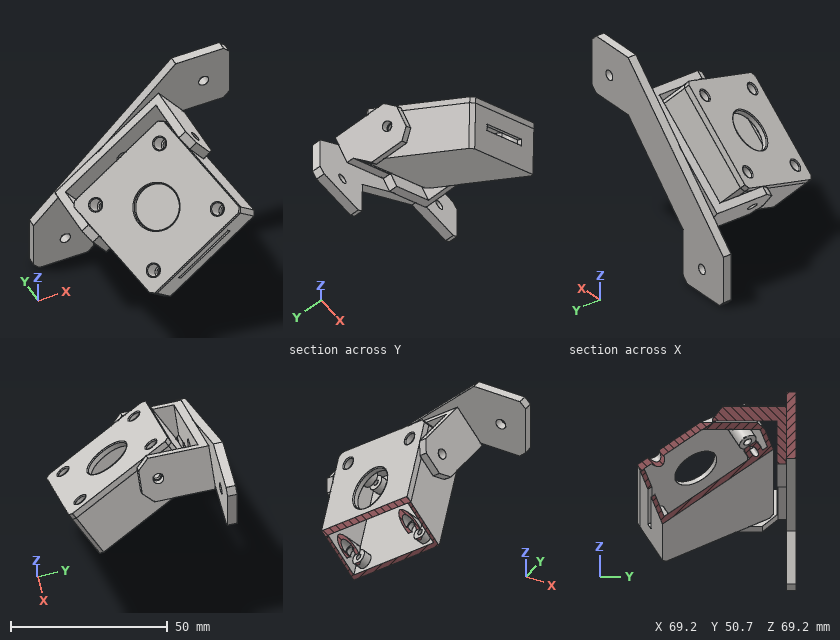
import cadquery as cq
plate_span = 69.2
plate_thickness = 3.2
ear_width = 21.3
ear_length = 19.0
ear_corner_cut = 2.1
screw_hole_diameter = 3.5
screw_hole_to_end = 9.15
screw_hole_to_outer_side = 11.3

pan_angle = 38.0
bracket_length = 46.45
bracket_width = 14.95
bracket_depth = 23.5
bracket_wall = 3.0
arm_corner_cut = 3.5
arm_notch_height = 5.05
arm_notch_depth = 2.55
pan_hole_diameter = 4.7
arm_hole_diameter = 3.4

tilt_angle = 28.0
tilt_axis_to_plate = 17.65
tilt_axis_to_case_middle = 9.75
tilt_axis_to_lid_top = 7.4
case_size = 40.15
case_corner_cut = 1.4
case_height = 15.0
case_wall = 1.5
pivot_hole_diameter = 2.8
pivot_hole_depth = case_wall
case_post_diameter = 5.25
case_post_height = 3.0
case_screw_hole_diameter = 1.95
case_screw_hole_depth = 4.0
card_slot_length = 22.0
card_slot_height = 2.1
card_slot_to_rim = 6.2

lid_thickness = 2.0
window_diameter = 15.0
rim_chamfer = 0.35
screw_spacing = 28.65
lid_post_diameter = 6.0
lid_post_length = 8.3
screw_head_diameter = 4.0
screw_head_depth = 8.5
lid_screw_hole_diameter = 2.8

ear_end = plate_span / 2
ear_start = ear_end - ear_length
ear_inner_side = ear_end - ear_width
neck_outer_offset = ear_end - ear_start
neck_inner_offset = ear_inner_side - ear_start
pan_axis_offset = (neck_outer_offset + neck_inner_offset) / 4
case_rim = tilt_axis_to_lid_top - lid_thickness
case_bottom = case_rim - case_height
case_floor = case_bottom + case_wall
screw_places = [(sx * screw_spacing / 2, sy * screw_spacing / 2) for sx in (-1, 1) for sy in (-1, 1)]


def turn_to_pan_angle(body):
    """Turn a body made about the Y axis to the pan angle and move it to the pan axis."""
    turned = body.rotate((0, 0, 0), (0, 1, 0), -pan_angle)
    return turned.translate((-pan_axis_offset, 0, pan_axis_offset))


def turn_to_tilt_angle(body):
    """Tilt a body made about the X axis and carry it with the bracket."""
    tilted = body.rotate((0, 0, 0), (1, 0, 0), tilt_angle)
    return turn_to_pan_angle(tilted.translate((0, -tilt_axis_to_plate, 0)))


def make_plate():
    """Flat plate with two ears joined by a sloping neck, symmetric about the line X = -Z."""
    right_ear = [
        (ear_start, ear_end),
        (ear_end - ear_corner_cut, ear_end),
        (ear_end, ear_end - ear_corner_cut),
        (ear_end, ear_inner_side + ear_corner_cut),
        (ear_end - ear_corner_cut, ear_inner_side),
        (ear_start, ear_inner_side),
    ]
    left_ear = [(-z, -x) for x, z in reversed(right_ear)]
    hole_x = ear_end - screw_hole_to_end
    hole_z = ear_end - screw_hole_to_outer_side
    back = cq.Workplane("XZ", origin=(0, plate_thickness, 0))
    blank = back.polyline(right_ear + left_ear).close().extrude(plate_thickness)
    holes = back.pushPoints([(hole_x, hole_z), (-hole_z, -hole_x)]).circle(screw_hole_diameter / 2)
    return blank.cut(holes.extrude(plate_thickness))


def make_arm_notch():
    """Sloping notch at the root of the left arm, on its lower side."""
    lower_side = -bracket_width / 2
    outline = [
        (0, lower_side),
        (0, lower_side + arm_notch_height),
        (-arm_notch_depth, lower_side + arm_notch_height),
        (-arm_notch_depth - arm_notch_height, lower_side),
    ]
    return cq.Workplane("YZ").polyline(outline).close().extrude(-bracket_length / 2)


def make_bracket():
    """U-shaped bracket whose base lies on the plate and whose arms carry the case."""
    block = cq.Workplane("XZ").rect(bracket_length, bracket_width).extrude(bracket_depth)
    block = block.faces("<Y").edges("|X").chamfer(arm_corner_cut)
    base_front = cq.Workplane("XZ", origin=(0, -bracket_wall, 0))
    gap = base_front.rect(bracket_length - 2 * bracket_wall, bracket_width).extrude(bracket_depth)
    pan_hole = cq.Workplane("XZ").circle(pan_hole_diameter / 2).extrude(bracket_wall)
    arm_holes = cq.Workplane("YZ").center(-tilt_axis_to_plate, 0).circle(arm_hole_diameter / 2)
    arm_holes = arm_holes.extrude(bracket_length / 2, both=True)
    return turn_to_pan_angle(block.cut(gap).cut(make_arm_notch()).cut(pan_hole).cut(arm_holes))


def case_level(height):
    """Workplane across the case, centred on it, at a height from the tilt axis."""
    return cq.Workplane("XY", origin=(0, -tilt_axis_to_case_middle, height))


def make_case():
    """Open box with a card slot, pivot holes on the tilt axis and four screw posts."""
    box = case_level(case_bottom).rect(case_size, case_size).extrude(case_height)
    box = box.edges("|Z").chamfer(case_corner_cut)
    inner_size = case_size - 2 * case_wall
    box = box.cut(case_level(case_floor).rect(inner_size, inner_size).extrude(case_height))

    slot = case_level(case_rim - card_slot_to_rim).center(0, -(case_size - case_wall) / 2)
    box = box.cut(slot.box(card_slot_length, case_wall, card_slot_height))

    for side in (-1, 1):
        outside = cq.Workplane("YZ", origin=(side * case_size / 2, 0, 0))
        box = box.cut(outside.circle(pivot_hole_diameter / 2).extrude(-side * pivot_hole_depth))

    posts = case_level(case_floor).pushPoints(screw_places).circle(case_post_diameter / 2)
    box = box.union(posts.extrude(case_post_height))
    holes = case_level(case_floor + case_post_height).pushPoints(screw_places)
    box = box.cut(holes.circle(case_screw_hole_diameter / 2).extrude(-case_screw_hole_depth))
    return turn_to_tilt_angle(box)


def make_lid():
    """Square lid with a round window and four hollow posts for the screws."""
    cover = case_level(case_rim).rect(case_size, case_size).extrude(lid_thickness)
    cover = cover.edges("|Z").chamfer(case_corner_cut)
    posts = case_level(case_rim).pushPoints(screw_places).circle(lid_post_diameter / 2)
    cover = cover.union(posts.extrude(-lid_post_length))

    lid_top = case_level(tilt_axis_to_lid_top)
    screws = lid_top.pushPoints(screw_places)
    cover = cover.cut(lid_top.circle(window_diameter / 2).extrude(-lid_thickness))
    cover = cover.cut(screws.circle(screw_head_diameter / 2).extrude(-screw_head_depth))
    post_end_depth = lid_thickness + lid_post_length
    cover = cover.cut(screws.circle(lid_screw_hole_diameter / 2).extrude(-post_end_depth))
    return turn_to_tilt_angle(cover.faces(">Z").edges("%CIRCLE").chamfer(rim_chamfer))


plate = make_plate()
bracket = make_bracket()
case = make_case()
lid = make_lid()

result = cq.Compound.makeCompound([plate.val(), bracket.val(), case.val(), lid.val()])